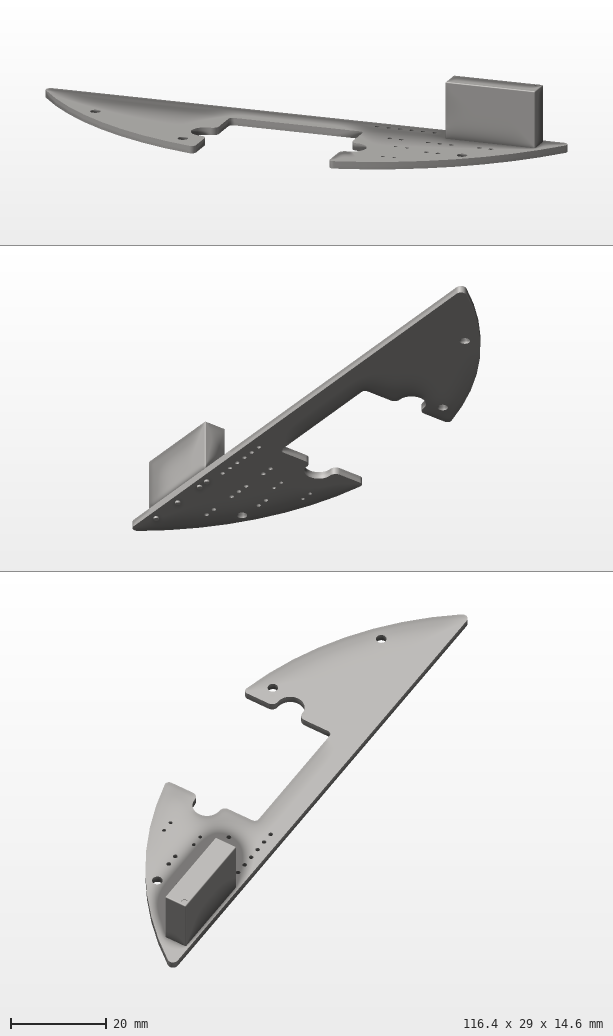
import cadquery as cq
import math


board_length = 116.4
board_thickness = 1.6
rim_radius = 72.6
tip_radius = 1.2
rim_center_y = (
    math.sqrt((rim_radius - tip_radius) ** 2 - (board_length / 2 - tip_radius) ** 2) - tip_radius
)

notch_width = 29.9
notch_back_y = -7.0
notch_corner_radius = 0.9
leg_corner_radius = 0.9
bite_radius = 3.0
bite_center_x = 16.4
bite_center_y = -18.3
bite_edge_radius = 1.4

mounting_hole_diameter = 2.2
mounting_hole_places = [(-43.1, -12.5), (-19.2, -24.3), (40.0, -15.7)]
pitch = 2.6
header_hole_diameter = 0.95
header_hole_rows = [
    (16.3, -2.6, 6),
]
lead_hole_diameter = 1.0
lead_hole_rows = [
    (21.6, -9.5, 2),
    (30.3, -9.5, 3),
    (41.7, -9.5, 2),
    (32.2, -16.2, 2),
]
small_hole_diameter = 0.8
small_hole_rows = [
    (24.8, -14.7, 2),
    (24.7, -22.1, 2),
]

relay_length = 20.0
relay_depth = 5.1
relay_height = 12.5
relay_left_x = 32.7
relay_back_y = -0.7
relay_edge_radius = 0.2
pin_diameter = 1.2
pin_length_below_board = 0.5
first_pin_x = 33.5
pin_y = -1.7
pin_steps = [0, 1, 4, 7]
mark_diameter = 1.4
mark_depth = 0.1
mark_inset = 0.9

pin_places = [(first_pin_x + step * pitch, pin_y) for step in pin_steps]


def row_places(rows):
    return [(x + i * pitch, y) for x, y, count in rows for i in range(count)]


def board_drill(places, diameter):
    return cq.Workplane("XY").pushPoints(places).circle(diameter / 2).extrude(board_thickness)


def vertical_edges_at(body, x, y):
    """Vertical edges of the body at (x, y) and at its mirror place (-x, y)."""
    reach = 0.01
    edges = body.edges("|Z")
    return edges.filter(
        lambda edge: abs(abs(edge.Center().x) - x) < reach and abs(edge.Center().y - y) < reach
    )


def round_board_blank():
    """Disc segment between the curved rim and the straight back edge, with rounded ends."""
    disc = (
        cq.Workplane("XY").center(0, rim_center_y).circle(rim_radius).extrude(board_thickness)
    )
    front_half = (
        cq.Workplane("XY")
        .rect(2 * rim_radius, 2 * rim_radius)
        .extrude(board_thickness)
        .translate((0, -rim_radius, 0))
    )
    return disc.intersect(front_half).edges("|Z").fillet(tip_radius)


def cut_notch(blank):
    notch_depth = rim_radius
    notch = (
        cq.Workplane("XY")
        .rect(notch_width, notch_depth)
        .extrude(board_thickness)
        .translate((0, notch_back_y - notch_depth / 2, 0))
    )
    bites = board_drill(
        [(side * bite_center_x, bite_center_y) for side in (-1, 1)], 2 * bite_radius
    )
    body = blank.cut(notch).cut(bites)

    side_x = notch_width / 2
    bite_half_height = math.sqrt(bite_radius ** 2 - (bite_center_x - side_x) ** 2)
    leg_end_y = rim_center_y - math.sqrt(rim_radius ** 2 - side_x ** 2)
    corner_radii = [
        (notch_back_y, notch_corner_radius),
        (bite_center_y + bite_half_height, bite_edge_radius),
        (bite_center_y - bite_half_height, bite_edge_radius),
        (leg_end_y, leg_corner_radius),
    ]
    for corner_y, radius in corner_radii:
        body = vertical_edges_at(body, side_x, corner_y).fillet(radius)
    return body


def make_board():
    body = cut_notch(round_board_blank())
    body = body.cut(board_drill(mounting_hole_places, mounting_hole_diameter))
    body = body.cut(board_drill(row_places(header_hole_rows), header_hole_diameter))
    body = body.cut(board_drill(row_places(lead_hole_rows), lead_hole_diameter))
    body = body.cut(board_drill(row_places(small_hole_rows), small_hole_diameter))
    return body.cut(board_drill(pin_places, pin_diameter))


def make_relay():
    relay_top_z = board_thickness + relay_height
    case = (
        cq.Workplane("XY")
        .box(relay_length, relay_depth, relay_height, centered=False)
        .translate((relay_left_x, relay_back_y - relay_depth, board_thickness))
        .edges("|Z or >Z")
        .fillet(relay_edge_radius)
    )
    mark = (
        cq.Workplane("XY", origin=(0, 0, relay_top_z - mark_depth))
        .center(relay_left_x + relay_length - mark_inset, relay_back_y - mark_inset)
        .circle(mark_diameter / 2)
        .extrude(mark_depth)
    )
    pins = (
        cq.Workplane("XY", origin=(0, 0, -pin_length_below_board))
        .pushPoints(pin_places)
        .circle(pin_diameter / 2)
        .extrude(pin_length_below_board + board_thickness)
    )
    return case.cut(mark).union(pins)


board = make_board()
relay = make_relay()

result = cq.Compound.makeCompound([board.val(), relay.val()])